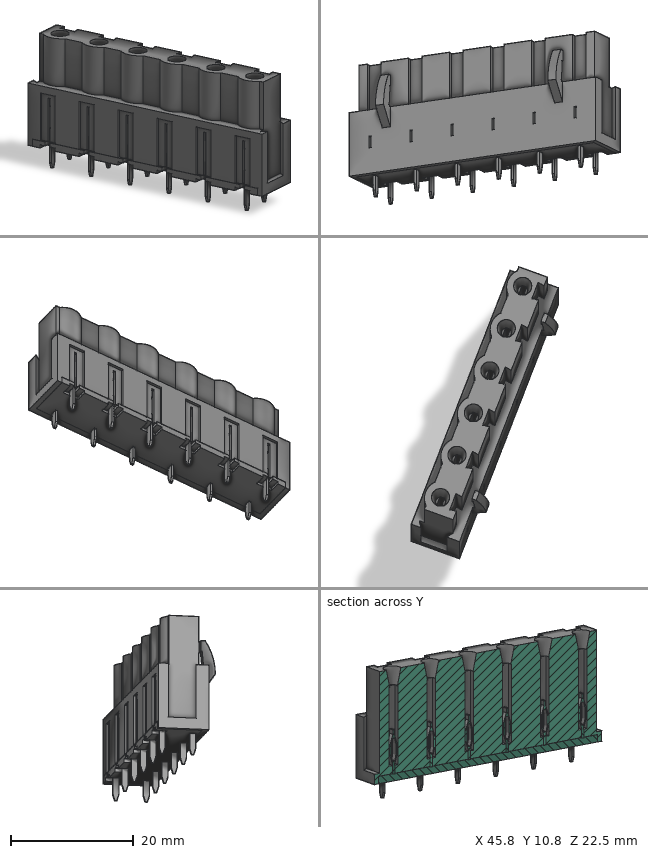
import cadquery as cq


pole_count = 6
pole_pitch = 7.62
pole_places = [(i - (pole_count - 1) / 2) * pole_pitch for i in range(pole_count)]
pole_y = 3.66

base_length = 45.82
base_depth = 8.4
base_height = 10.75
total_height = 19.0

block_inset = 1.02
block_length = base_length - 2 * block_inset
block_front = 1.9
block_back = 6.9
bulge_half_width = 2.12
bulge_rise = 0.83
bulge_front = block_front - bulge_rise
notch_back_width = 2.55
notch_floor_width = 2.9
notch_depth = 1.1

groove_floor_z = 1.81
groove_mouth_front = 1.67
groove_mouth_back = 6.2

latch_x = 16.0
latch_width = 1.5
latch_reach = 2.3
latch_root_z = 7.36
latch_elbow_z = 10.62
latch_bend_y = 1.55
latch_bend_z = 14.33
latch_top_y = 0.6
latch_top_z = 16.1
latch_hook = 0.14
latch_hook_z = 14.35
latch_gap_top = 0.09
latch_gap_root = 0.4
latch_root_bevel = 0.28

contact_thickness = 0.4
leg_width = 1.0
leg_spacing = 5.08
front_leg_y = 1.34
leg_centres = [front_leg_y, front_leg_y + leg_spacing]
leg_length = 3.5
leg_taper = 1.0
leg_tip_width = 0.35
contact_front = front_leg_y - leg_width / 2
contact_back = contact_front + leg_spacing + leg_width
contact_top = 8.7
eye_bottom = 3.45
eye_top = 7.2
arm_root_height = 0.75
arm_reach = 0.75
arm_thickness = 0.35

entry_diameter = 2.95
throat_width = 1.65
throat_depth = 0.8
funnel_height = 3.0
throat_bottom = eye_bottom - arm_root_height
window_bottom = 4.36
window_top = 6.28
pocket_width = 2.9
pocket_depth = 0.4
pocket_top = 9.5

plate_length = 44.06
plate_height = 1.24
plate_overhang = 0.05
plate_back = 7.4
plate_notch_width = 0.95
plate_recess_height = 0.55
plate_notch_back = front_leg_y + leg_width / 2


def box(width, y_front, y_back, z_low, z_high, x=0.0):
    """Block centred on x, between the given Y and Z limits."""
    size = (width, y_back - y_front, z_high - z_low)
    return cq.Workplane("XY").box(*size, centered=(True, False, False)).translate((x, y_front, z_low))


def plug_block():
    """Block with a row of bulges in front and tapered notches in the back."""
    height = total_height - base_height
    outline = cq.Workplane("XY", origin=(0, 0, base_height)).moveTo(-block_length / 2, block_front)
    for x in pole_places:
        outline = outline.lineTo(x - bulge_half_width, block_front)
        outline = outline.threePointArc((x, bulge_front), (x + bulge_half_width, block_front))
    outline = outline.lineTo(block_length / 2, block_front)
    outline = outline.lineTo(block_length / 2, block_back)
    notch_floor = block_back - notch_depth
    for x in reversed(pole_places):
        outline = outline.lineTo(x + notch_back_width / 2, block_back)
        outline = outline.lineTo(x + notch_floor_width / 2, notch_floor)
        outline = outline.lineTo(x - notch_floor_width / 2, notch_floor)
        outline = outline.lineTo(x - notch_back_width / 2, block_back)
    return outline.lineTo(-block_length / 2, block_back).close().extrude(height)


def end_groove(side):
    """Dovetail groove, wider inside than at the end face; side is -1 or 1."""
    mouth_x = side * base_length / 2
    floor_x = side * block_length / 2
    corners = [
        (mouth_x, groove_mouth_front),
        (floor_x, bulge_front),
        (floor_x, block_back),
        (mouth_x, groove_mouth_back),
    ]
    profile = cq.Workplane("XY", origin=(0, 0, groove_floor_z)).polyline(corners).close()
    return profile.extrude(base_height - groove_floor_z)


def latch(x):
    """Hooked finger standing off the back of the base."""
    inner_side = [
        (base_depth - latch_hook, latch_top_z),
        (base_depth - latch_hook, latch_hook_z),
        (base_depth + latch_gap_top, latch_hook_z),
        (base_depth + latch_gap_root, base_height + latch_root_bevel),
        (base_depth + latch_gap_root - latch_root_bevel, base_height),
        (base_depth, base_height),
    ]
    profile = (
        cq.Workplane("YZ")
        .moveTo(base_depth, latch_root_z)
        .lineTo(base_depth + latch_reach, latch_elbow_z)
        .threePointArc((base_depth + latch_bend_y, latch_bend_z), (base_depth + latch_top_y, latch_top_z))
    )
    for corner in inner_side:
        profile = profile.lineTo(*corner)
    finger = profile.close().extrude(latch_width / 2, both=True)
    return finger.translate((x, 0, 0))


def pole_opening(x):
    """All the space cut from the housing at one pole."""
    funnel = (
        cq.Workplane("XY", origin=(x, pole_y, total_height))
        .circle(entry_diameter / 2)
        .workplane(offset=-funnel_height)
        .circle(throat_width / 2)
        .loft()
    )
    throat_front = pole_y - throat_depth / 2
    throat_back = pole_y + throat_depth / 2
    funnel_end = total_height - funnel_height
    throat = box(throat_width, throat_front, throat_back, throat_bottom, funnel_end, x)
    contact_slot = box(contact_thickness, 0, contact_back, 0, contact_top, x)
    back_window = box(contact_thickness, contact_back, base_depth, window_bottom, window_top, x)
    front_pocket = box(pocket_width, 0, pocket_depth, 0, pocket_top, x)
    return funnel.union(throat).union(contact_slot).union(back_window).union(front_pocket)


def make_housing():
    body = box(base_length, 0, base_depth, 0, base_height).union(plug_block())
    for side in (-1, 1):
        body = body.cut(end_groove(side))
        body = body.union(latch(side * latch_x))
    body = body.cut(box(plate_length, 0, plate_back, 0, plate_height))
    for x in pole_places:
        body = body.cut(pole_opening(x))
    return body


def contact_leg(y):
    """Solder leg with a tapered tip."""
    taper_z = leg_taper - leg_length
    profile = [
        (y - leg_width / 2, plate_height),
        (y - leg_width / 2, taper_z),
        (y - leg_tip_width / 2, -leg_length),
        (y + leg_tip_width / 2, -leg_length),
        (y + leg_width / 2, taper_z),
        (y + leg_width / 2, plate_height),
    ]
    return cq.Workplane("YZ").polyline(profile).close().extrude(contact_thickness / 2, both=True)


def contact_arm(side):
    """Spring arm that bows sideways past the open eye; side is -1 or 1."""
    root_x = side * contact_thickness / 2
    outer_x = side * arm_reach
    inner_x = side * (arm_reach - arm_thickness)
    profile = [
        (root_x, eye_bottom - arm_root_height),
        (outer_x, window_bottom),
        (outer_x, window_top),
        (root_x, eye_top + arm_root_height),
        (root_x, eye_top),
        (inner_x, window_top),
        (inner_x, window_bottom),
        (root_x, eye_bottom),
    ]
    arm = cq.Workplane("XZ").polyline(profile).close().extrude(throat_depth / 2, both=True)
    return arm.translate((0, pole_y, 0))


def make_contact(x):
    """Flat contact on two legs, its lower and upper parts joined by bowed arms."""
    contact = box(contact_thickness, contact_front, contact_back, plate_height, eye_bottom)
    contact = contact.union(box(contact_thickness, contact_front, contact_back, eye_top, contact_top))
    for side in (-1, 1):
        contact = contact.union(contact_arm(side))
    for y in leg_centres:
        contact = contact.union(contact_leg(y))
    return contact.translate((x, 0, 0))


def make_bottom_plate():
    """Plate under the contacts, notched at the front legs and slotted for the back legs."""
    plate = box(plate_length, -plate_overhang, plate_back, 0, plate_height)
    back_leg_front = leg_centres[1] - leg_width / 2
    for x in pole_places:
        notch = box(plate_notch_width, -plate_overhang, plate_notch_back, 0, plate_height, x)
        recess = box(pocket_width, -plate_overhang, plate_notch_back, 0, plate_recess_height, x)
        leg_slot = box(contact_thickness, back_leg_front, contact_back, 0, plate_height, x)
        plate = plate.cut(notch).cut(recess).cut(leg_slot)
    return plate


housing = make_housing()
bottom_plate = make_bottom_plate()
contacts = [make_contact(x).val() for x in pole_places]

result = cq.Compound.makeCompound([housing.val(), bottom_plate.val(), *contacts])